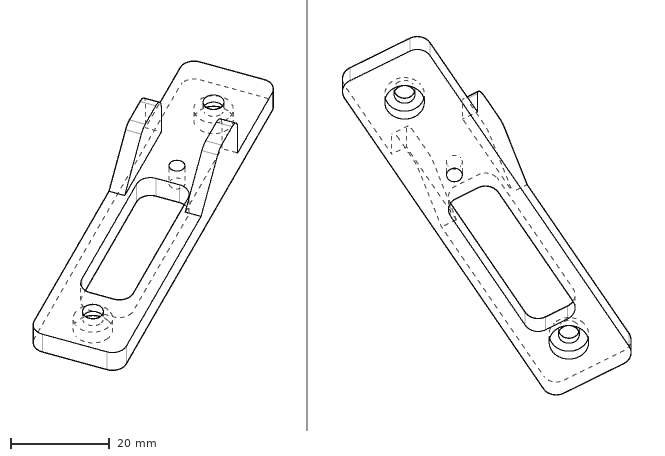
import cadquery as cq

length = 86.0
width = 20.0
plate_thickness = 5.0
plate_corner_radius = 3.0

end_hole_diameter = 4.2
end_hole_offset = 33.0
counterbore_diameter = 8.0
counterbore_depth = 3.0
small_hole_diameter = 3.2
small_hole_y = 13.0

window_width = 11.2
window_length = 36.0
window_centre_y = -10.1
window_corner_radius = 3.0

total_height = 15.0
lug_thickness = 3.4
lug_back_y = 21.0
lug_length = 20.0
lug_top_length = 10.1
lug_back_radius = 3.0
lug_front_radius = 3.0


def make_plate():
    return (
        cq.Workplane("XY")
        .box(width, length, plate_thickness, centered=(True, True, False))
        .edges("|Z")
        .fillet(plate_corner_radius)
    )


def make_window():
    return (
        cq.Workplane("XY")
        .center(0, window_centre_y)
        .rect(window_width, window_length)
        .extrude(plate_thickness)
        .edges("|Z")
        .fillet(window_corner_radius)
    )


def make_hole(y, diameter, depth=plate_thickness):
    """Cutter for a round hole that starts at the underside of the plate."""
    return cq.Workplane("XY").center(0, y).circle(diameter / 2).extrude(depth)


def make_lug(x_start):
    """Lug with an upright back, a flat top and a front sloping down to the plate."""
    front_y = lug_back_y - lug_length
    top_front_y = lug_back_y - lug_top_length
    lug = (
        cq.Workplane("YZ", origin=(x_start, 0, 0))
        .moveTo(lug_back_y, 0)
        .lineTo(lug_back_y, total_height)
        .lineTo(top_front_y, total_height)
        .lineTo(front_y, plate_thickness)
        .lineTo(front_y, 0)
        .close()
        .extrude(lug_thickness)
    )
    lug = lug.edges("|X and >Z and >Y").fillet(lug_back_radius)
    return lug.edges("|X and >Z").edges("<Y").fillet(lug_front_radius)


result = make_plate().cut(make_window())
for hole_y in (-end_hole_offset, end_hole_offset):
    result = result.cut(make_hole(hole_y, end_hole_diameter))
    result = result.cut(make_hole(hole_y, counterbore_diameter, counterbore_depth))
result = result.cut(make_hole(small_hole_y, small_hole_diameter))
for lug_x in (-width / 2, width / 2 - lug_thickness):
    result = result.union(make_lug(lug_x))